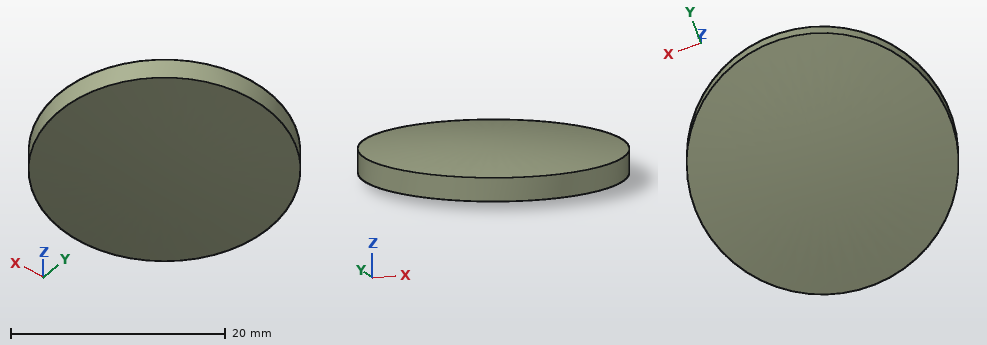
import cadquery as cq

diameter = 25.4
centre_thickness = 4.0
edge_thickness = 2.29

radius = diameter / 2
half_centre = centre_thickness / 2
half_edge = edge_thickness / 2

sag = half_centre - half_edge
sphere_radius = (radius**2 + sag**2) / (2 * sag)
sphere_centre_z = half_centre - sphere_radius

mid_radius = radius / 2
mid_z = sphere_centre_z + (sphere_radius**2 - mid_radius**2) ** 0.5

result = (
    cq.Workplane("YZ")
    .moveTo(0, -half_centre)
    .threePointArc((mid_radius, -mid_z), (radius, -half_edge))
    .lineTo(radius, half_edge)
    .threePointArc((mid_radius, mid_z), (0, half_centre))
    .close()
    .revolve(360, (0, 0), (0, 1))
)